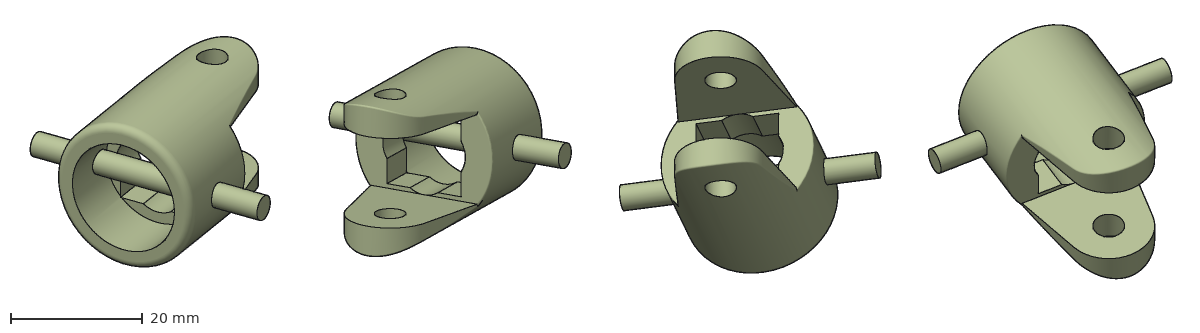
import cadquery as cq
import math

BARREL_RADIUS = 12.0
BARREL_LENGTH = 16.1
RIM_FILLET = 1.25
BORE_RADIUS = 9.0
BORE_DEPTH = 10.1

ARM_INNER_Z = 7.17
ARM_ROOT_HALF_WIDTH = 9.28
ARM_TIP_RADIUS = 7.0
TOTAL_LENGTH = 33.53
ARM_HOLE_RADIUS = 2.4
ARM_HOLE_Y = TOTAL_LENGTH - ARM_TIP_RADIUS
EDGE_BREAK = 0.25

SQUARE_SIDE = 12.9
NOTCH_RADIUS = 4.4
NOTCH_DEPTH = 0.74

PIN_RADIUS = 2.0
PIN_LENGTH = 40.0
PIN_Y = 8.0


def cylinder_along_y(radius, length):
    """Cylinder on the Y axis, starting at Y = 0."""
    return cq.Workplane("XZ").circle(radius).extrude(-length)


def side_outline():
    """Barrel and arm outline in XY, with flanks tangent to the round tip."""
    root_to_tip_centre = ARM_HOLE_Y - BARREL_LENGTH
    root_distance = math.hypot(ARM_ROOT_HALF_WIDTH, root_to_tip_centre)
    root_direction = math.atan2(-root_to_tip_centre, ARM_ROOT_HALF_WIDTH)
    tangent_angle = root_direction + math.acos(ARM_TIP_RADIUS / root_distance)
    tangent_x = ARM_TIP_RADIUS * math.cos(tangent_angle)
    tangent_y = ARM_HOLE_Y + ARM_TIP_RADIUS * math.sin(tangent_angle)
    return (
        cq.Workplane("XY")
        .moveTo(-BARREL_RADIUS, 0)
        .lineTo(BARREL_RADIUS, 0)
        .lineTo(BARREL_RADIUS, BARREL_LENGTH)
        .lineTo(ARM_ROOT_HALF_WIDTH, BARREL_LENGTH)
        .lineTo(tangent_x, tangent_y)
        .threePointArc((0, TOTAL_LENGTH), (-tangent_x, tangent_y))
        .lineTo(-ARM_ROOT_HALF_WIDTH, BARREL_LENGTH)
        .lineTo(-BARREL_RADIUS, BARREL_LENGTH)
        .close()
    )


def fork_body():
    """Solid barrel with two tapered arms, edges broken on the outer cylinder."""
    arm_length = TOTAL_LENGTH - BARREL_LENGTH
    slot = (
        cq.Workplane("XY")
        .box(2 * BARREL_RADIUS, arm_length, 2 * ARM_INNER_Z, centered=(True, False, True))
        .translate((0, BARREL_LENGTH, 0))
    )
    outline = side_outline().extrude(BARREL_RADIUS, both=True)
    body = cylinder_along_y(BARREL_RADIUS, TOTAL_LENGTH).intersect(outline)
    body = body.edges("(not %LINE) and (not <Y)").fillet(EDGE_BREAK)
    body = body.faces("<Y").edges().fillet(RIM_FILLET)
    return body.cut(slot)


def drive_hole():
    """Square hole with a round notch in each side, cut through the barrel floor."""
    floor = cq.Workplane("XZ", origin=(0, BORE_DEPTH, 0))
    floor_thickness = BARREL_LENGTH - BORE_DEPTH
    notch_centre = SQUARE_SIDE / 2 + NOTCH_DEPTH - NOTCH_RADIUS
    hole = floor.rect(SQUARE_SIDE, SQUARE_SIDE).extrude(-floor_thickness)
    notch = floor.center(notch_centre, 0).circle(NOTCH_RADIUS).extrude(-floor_thickness)
    for quarter_turn in range(4):
        hole = hole.union(notch.rotate((0, 0, 0), (0, 1, 0), 90 * quarter_turn))
    return hole


def arm_holes():
    """Round hole along Z through both arms, centred on their round tips."""
    centre = cq.Workplane("XY").center(0, ARM_HOLE_Y)
    return centre.circle(ARM_HOLE_RADIUS).extrude(BARREL_RADIUS, both=True)


def cross_pin():
    """Pin along X through the bore, standing out on both sides of the barrel."""
    centre = cq.Workplane("YZ").center(PIN_Y, 0)
    return centre.circle(PIN_RADIUS).extrude(PIN_LENGTH / 2, both=True)


bore = cylinder_along_y(BORE_RADIUS, BORE_DEPTH)
result = fork_body().cut(bore).cut(drive_hole()).cut(arm_holes()).union(cross_pin())